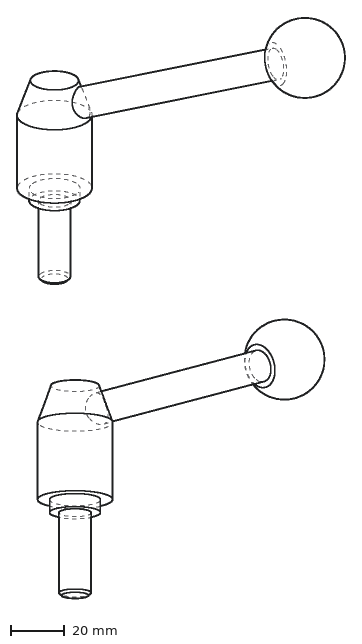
import cadquery as cq
import math


stud_diameter = 12.0
stud_length = 31.75
stud_chamfer = 1.0

collar_diameter = 19.0
collar_height = 5.0
hub_diameter = 28.0
hub_straight_height = 29.7
hub_top_diameter = 18.0
hub_taper_height = 14.0
hub_top_z = collar_height + hub_straight_height + hub_taper_height

arm_diameter = 12.0
arm_angle = math.radians(20.0)
arm_axis_depth = 11.2
arm_length = 107.2

ball_diameter = 30.0
ball_flat_diameter = 16.4
ball_flat_offset = math.sqrt(ball_diameter**2 - ball_flat_diameter**2) / 2


def make_stud():
    """Plain stud below the collar, chamfered at its free end."""
    stud = cq.Workplane("XY").circle(stud_diameter / 2).extrude(-stud_length)
    return stud.faces("<Z").chamfer(stud_chamfer)


def make_hub():
    """Collar, straight barrel and tapered top as one turned body."""
    barrel_top_z = collar_height + hub_straight_height
    profile = (
        cq.Workplane("XZ")
        .lineTo(collar_diameter / 2, 0)
        .lineTo(collar_diameter / 2, collar_height)
        .lineTo(hub_diameter / 2, collar_height)
        .lineTo(hub_diameter / 2, barrel_top_z)
        .lineTo(hub_top_diameter / 2, hub_top_z)
        .lineTo(0, hub_top_z)
        .close()
    )
    return profile.revolve(360, (0, 0, 0), (0, 1, 0))


def make_arm_and_knob():
    """Round arm and ball, turned about the inclined arm axis."""
    arm_plane = cq.Plane(
        origin=(0, 0, hub_top_z - arm_axis_depth),
        xDir=(math.cos(arm_angle), 0, math.sin(arm_angle)),
        normal=(0, -1, 0),
    )
    arm_radius = arm_diameter / 2
    ball_radius = ball_diameter / 2
    flat_position = arm_length - ball_flat_offset
    profile = (
        cq.Workplane(arm_plane)
        .lineTo(0, arm_radius)
        .lineTo(flat_position, arm_radius)
        .lineTo(flat_position, ball_flat_diameter / 2)
        .threePointArc((arm_length, ball_radius), (arm_length + ball_radius, 0))
        .close()
    )
    return profile.revolve(360, (0, 0, 0), (1, 0, 0))


result = make_hub().union(make_stud()).union(make_arm_and_knob())